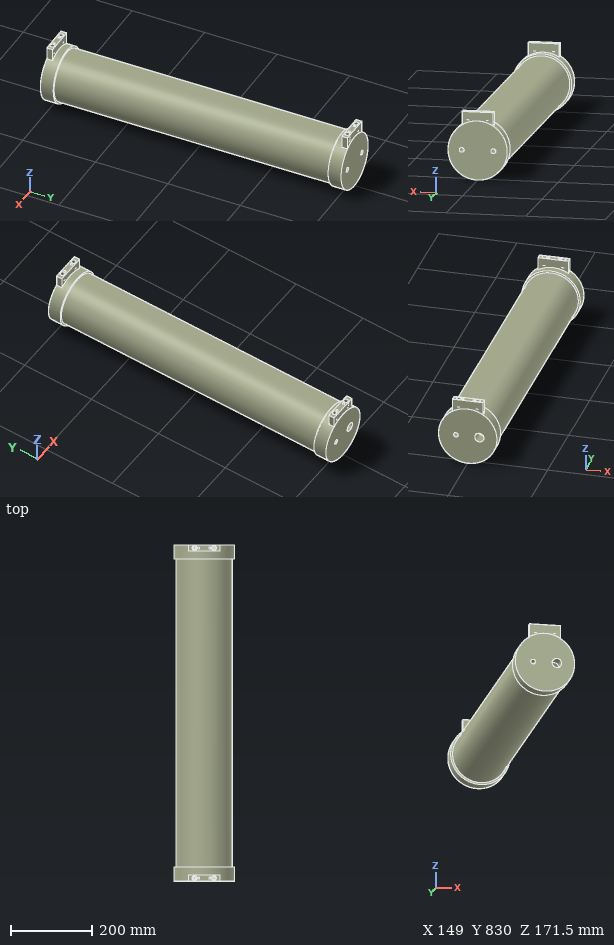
import cadquery as cq

overall_length = 830.0

tube_outer_diameter = 139.5
tube_inner_diameter = 132.0

cap_diameter = 149.0
cap_thickness = 36.0
port_offset = 30.0
main_port_diameter = 23.0
side_port_diameter = 12.0
rear_port_offset = 40.0
rear_port_diameter = 12.0

bracket_width = 78.0
bracket_thickness = 16.0
bracket_top = 97.0
screw_offset = 24.0
screw_hole_diameter = 6.0
counterbore_diameter = 12.0
counterbore_depth = 21.0
pin_hole_offset = 14.0
pin_hole_diameter = 5.2
pin_hole_depth = counterbore_depth

tube_length = overall_length - 2 * cap_thickness
front_face = -overall_length / 2
rear_cap_start = overall_length / 2 - cap_thickness


def rod(diameter, length, start_y, x=0.0):
    """Solid cylinder along +Y, starting at start_y."""
    axis = cq.Plane(origin=(x, start_y, 0), xDir=(1, 0, 0), normal=(0, 1, 0))
    return cq.Workplane(axis).circle(diameter / 2).extrude(length)


def drill(diameter, depth, x, y):
    """Cutter for a hole drilled down from the top of a bracket."""
    top = cq.Workplane("XY", origin=(x, y, bracket_top))
    return top.circle(diameter / 2).extrude(-depth)


def make_tube():
    outside = rod(tube_outer_diameter, tube_length, -tube_length / 2)
    return outside.cut(rod(tube_inner_diameter, tube_length, -tube_length / 2))


def make_cap(start_y, ports):
    """End disc with through ports given as (x, diameter)."""
    cap = rod(cap_diameter, cap_thickness, start_y)
    for x, diameter in ports:
        cap = cap.cut(rod(diameter, cap_thickness, start_y, x))
    return cap


def make_bracket(center_y):
    """Upright plate with a concave foot, two counterbored holes and two pin holes."""
    bracket = (
        cq.Workplane("XY", origin=(0, center_y, 0))
        .rect(bracket_width, bracket_thickness)
        .extrude(bracket_top)
        .cut(rod(cap_diameter, bracket_thickness, center_y - bracket_thickness / 2))
    )
    for side in (-1, 1):
        screw_x = side * screw_offset
        bracket = (
            bracket
            .cut(drill(screw_hole_diameter, bracket_top, screw_x, center_y))
            .cut(drill(counterbore_diameter, counterbore_depth, screw_x, center_y))
            .cut(drill(pin_hole_diameter, pin_hole_depth, side * pin_hole_offset, center_y))
        )
    return bracket


tube = make_tube()

front_ports = [(port_offset, main_port_diameter), (-port_offset, side_port_diameter)]
rear_ports = [(side * rear_port_offset, rear_port_diameter) for side in (-1, 1)]
caps = [
    make_cap(start_y, ports)
    for start_y, ports in ((front_face, front_ports), (rear_cap_start, rear_ports))
]

bracket_y = (overall_length - bracket_thickness) / 2
brackets = [make_bracket(end * bracket_y) for end in (-1, 1)]

result = cq.Compound.makeCompound([body.val() for body in [tube, *caps, *brackets]])